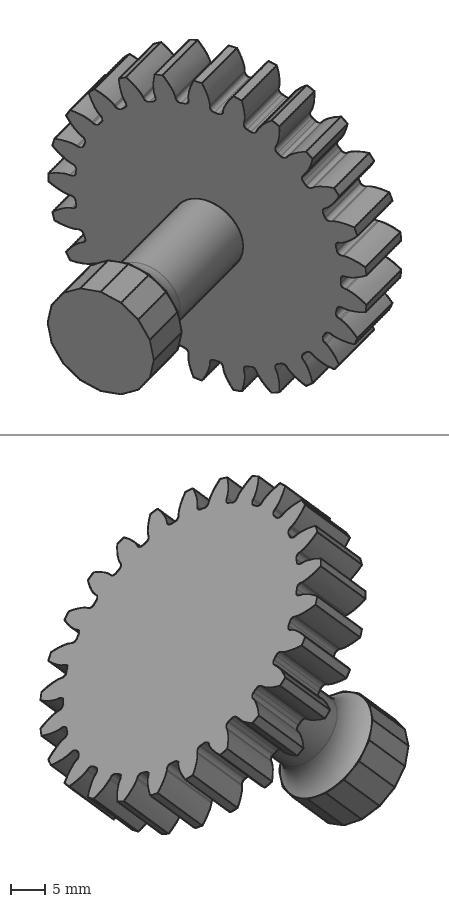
import cadquery as cq
import math

TEETH = 25
MODULE = 2.0
PRESSURE_ANGLE = math.radians(20)
GEAR_WIDTH = 10.0
PITCH_RADIUS = MODULE * TEETH / 2
BASE_RADIUS = PITCH_RADIUS * math.cos(PRESSURE_ANGLE)
TIP_RADIUS = PITCH_RADIUS + MODULE
DEDENDUM_FACTOR = 1.25
ROOT_FILLET_FACTOR = 0.38
ROOT_RADIUS = PITCH_RADIUS - DEDENDUM_FACTOR * MODULE
ROOT_FILLET = ROOT_FILLET_FACTOR * MODULE
FIRST_TOOTH_ANGLE = math.pi
FLANK_POINTS = 7

SHAFT_RADIUS = 6.0
SHAFT_LENGTH = 18.0
FLARE_LENGTH = 4.5
FLARE_ARC_RADIUS = 5.0

HEAD_SIDES = 16
HEAD_DIAMETER = 18.0
HEAD_LENGTH = 8.0


def involute(pressure_angle):
    return math.tan(pressure_angle) - pressure_angle


def polar(radius, angle):
    return (radius * math.cos(angle), radius * math.sin(angle))


def tooth_half_angle(radius):
    """Half of the angle a tooth takes up at a radius on its involute flank."""
    local_pressure_angle = math.acos(min(1.0, BASE_RADIUS / radius))
    pitch_half_angle = math.pi / (2 * TEETH)
    return pitch_half_angle + involute(PRESSURE_ANGLE) - involute(local_pressure_angle)


def flank(tooth_angle, side):
    """Involute points from base circle to tip; side is -1 or +1."""
    points = []
    for i in range(FLANK_POINTS):
        radius = BASE_RADIUS + (TIP_RADIUS - BASE_RADIUS) * i / (FLANK_POINTS - 1)
        points.append(polar(radius, tooth_angle + side * tooth_half_angle(radius)))
    return points


def root_fillet(tooth_angle, side):
    """Start (on the root circle), middle and end (on the radial flank) of a root fillet."""
    center_radius = ROOT_RADIUS + ROOT_FILLET
    offset_angle = math.asin(ROOT_FILLET / center_radius)
    flank_angle = tooth_angle + side * tooth_half_angle(BASE_RADIUS)
    center_angle = flank_angle + side * offset_angle
    center_x, center_y = polar(center_radius, center_angle)
    toward_flank = flank_angle - side * math.pi / 2
    half_sweep = side * (math.pi / 2 - offset_angle) / 2
    mid_x, mid_y = polar(ROOT_FILLET, toward_flank - half_sweep)
    start = polar(ROOT_RADIUS, center_angle)
    middle = (center_x + mid_x, center_y + mid_y)
    end = polar(math.sqrt(center_radius**2 - ROOT_FILLET**2), flank_angle)
    return start, middle, end


def make_gear():
    """Gear body with its front face at Y = 0, extending toward +Y."""
    pitch_angle = 2 * math.pi / TEETH
    first_start = root_fillet(FIRST_TOOTH_ANGLE, -1)[0]
    outline = cq.Workplane("XZ").moveTo(*first_start)
    for i in range(TEETH):
        angle = FIRST_TOOTH_ANGLE + i * pitch_angle
        _, middle, end = root_fillet(angle, -1)
        rising = flank(angle, -1)
        falling = flank(angle, 1)[::-1]
        outline = outline.threePointArc(middle, end).lineTo(*rising[0])
        outline = outline.spline(rising[1:], includeCurrent=True)
        outline = outline.threePointArc(polar(TIP_RADIUS, angle), falling[0])
        outline = outline.spline(falling[1:], includeCurrent=True)
        start, middle, end = root_fillet(angle, 1)
        outline = outline.lineTo(*end).threePointArc(middle, start)
        next_angle = angle + pitch_angle
        root_middle = polar(ROOT_RADIUS, angle + pitch_angle / 2)
        outline = outline.threePointArc(root_middle, root_fillet(next_angle, -1)[0])
    return outline.close().extrude(-GEAR_WIDTH)


def make_stem():
    """Round shaft with a concave flare, reaching back into the gear."""
    flare_start = -SHAFT_LENGTH
    flare_end = flare_start - FLARE_LENGTH

    def flare_radius(depth):
        return SHAFT_RADIUS + FLARE_ARC_RADIUS - math.sqrt(FLARE_ARC_RADIUS**2 - depth**2)

    flare_middle = (flare_radius(FLARE_LENGTH / 2), flare_start - FLARE_LENGTH / 2)
    profile = (
        cq.Workplane("XY")
        .moveTo(0, GEAR_WIDTH / 2)
        .lineTo(SHAFT_RADIUS, GEAR_WIDTH / 2)
        .lineTo(SHAFT_RADIUS, flare_start)
        .threePointArc(flare_middle, (flare_radius(FLARE_LENGTH), flare_end))
        .lineTo(0, flare_end)
        .close()
    )
    return profile.revolve(360, (0, 0, 0), (0, 1, 0))


def make_head():
    """Polygonal head with corners on the X and Z axes."""
    stem_end = SHAFT_LENGTH + FLARE_LENGTH
    return (
        cq.Workplane("XZ", origin=(0, -stem_end, 0))
        .polygon(HEAD_SIDES, HEAD_DIAMETER)
        .extrude(HEAD_LENGTH)
    )


result = make_gear().union(make_stem()).union(make_head())